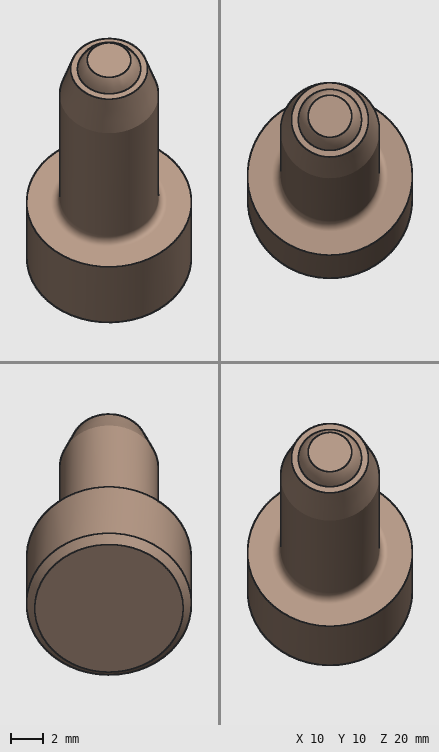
import cadquery as cq
import math

head_radius = 5.0
head_height = 6.0
head_chamfer = 0.5

shank_radius = 3.0
root_fillet = 0.5

taper_height = 2.5
taper_angle = 15.0

total_height = 20.0
nub_height = 0.85
nub_base_radius = 1.92
nub_top_radius = 1.32
nub_bulge = 0.08

shoulder_z = total_height - nub_height
taper_start_z = shoulder_z - taper_height
shoulder_radius = shank_radius - taper_height * math.tan(math.radians(taper_angle))

nub_chord = math.hypot(nub_base_radius - nub_top_radius, nub_height)
nub_mid_radius = (nub_base_radius + nub_top_radius) / 2 + nub_bulge * nub_height / nub_chord
nub_mid_z = shoulder_z + nub_height / 2 + nub_bulge * (nub_base_radius - nub_top_radius) / nub_chord

fillet_mid_offset = root_fillet * (1 - math.sqrt(0.5))

profile = (
    cq.Workplane("XZ")
    .moveTo(0, 0)
    .lineTo(head_radius - head_chamfer, 0)
    .lineTo(head_radius, head_chamfer)
    .lineTo(head_radius, head_height)
    .lineTo(shank_radius + root_fillet, head_height)
    .threePointArc(
        (shank_radius + fillet_mid_offset, head_height + fillet_mid_offset),
        (shank_radius, head_height + root_fillet),
    )
    .lineTo(shank_radius, taper_start_z)
    .lineTo(shoulder_radius, shoulder_z)
    .lineTo(nub_base_radius, shoulder_z)
    .threePointArc((nub_mid_radius, nub_mid_z), (nub_top_radius, total_height))
    .lineTo(0, total_height)
    .close()
)

result = profile.revolve(360, (0, 0, 0), (0, 1, 0))